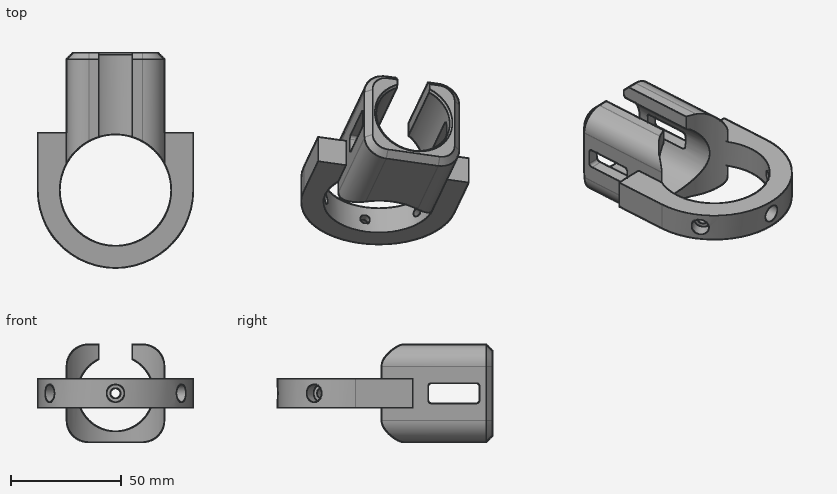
import cadquery as cq

ring_outer_diameter = 70.2
ring_outer_radius = ring_outer_diameter / 2
ring_bore_radius = 25.1
ring_thickness = 13.1
shoulder_y = 25.9

overall_length = 97.1
socket_end_y = overall_length - ring_outer_radius
socket_width = 44.2
socket_corner_radius = 10.0
socket_end_chamfer = 3.0
socket_bore_radius = 17.1
bore_mouth_chamfer = 1.0
slot_width = 15.0

window_length = 23.0
window_height = 9.0
window_corner_radius = 1.5
window_end_margin = 6.0

screw_hole_diameter = 4.5
counterbore_diameter = 8.0
counterbore_depth = 6.2
screw_spacing_angle = 58


def make_ring():
    """Round plate with a straight-sided, square-ended back."""
    return (
        cq.Workplane("XY")
        .moveTo(-ring_outer_radius, shoulder_y)
        .lineTo(-ring_outer_radius, 0)
        .threePointArc((0, -ring_outer_radius), (ring_outer_radius, 0))
        .lineTo(ring_outer_radius, shoulder_y)
        .close()
        .extrude(ring_thickness / 2, both=True)
    )


def make_socket():
    """Rounded square bar from the ring centre to the chamfered back end."""
    return (
        cq.Workplane("XZ")
        .rect(socket_width, socket_width)
        .extrude(-socket_end_y)
        .edges("|Y")
        .fillet(socket_corner_radius)
        .faces(">Y")
        .chamfer(socket_end_chamfer)
    )


def make_socket_bore():
    """Bore along Y that widens at the back end."""
    bore = cq.Workplane("XZ").circle(socket_bore_radius).extrude(-socket_end_y)
    mouth = (
        cq.Workplane("XZ", origin=(0, socket_end_y, 0))
        .circle(socket_bore_radius + bore_mouth_chamfer)
        .workplane(offset=bore_mouth_chamfer)
        .circle(socket_bore_radius)
        .loft()
    )
    return bore.union(mouth)


def make_top_slot():
    """Slot that opens the top of the socket into its bore."""
    return cq.Workplane("XY").box(
        slot_width, socket_end_y, socket_width, centered=(True, False, False)
    )


def make_windows():
    """Rounded rectangle through both side walls."""
    window_y = socket_end_y - window_end_margin - window_length / 2
    return (
        cq.Workplane("XY", origin=(0, window_y, 0))
        .box(socket_width, window_length, window_height)
        .edges("|X")
        .fillet(window_corner_radius)
    )


def make_screw_hole(angle):
    """Counterbored radial hole, turned by angle from the -Y direction."""
    hole = cq.Workplane("XZ").circle(screw_hole_diameter / 2).extrude(ring_outer_radius)
    counterbore = (
        cq.Workplane("XZ", origin=(0, counterbore_depth - ring_outer_radius, 0))
        .circle(counterbore_diameter / 2)
        .extrude(counterbore_depth)
    )
    return hole.union(counterbore).rotate((0, 0, 0), (0, 0, 1), angle)


ring_bore = (
    cq.Workplane("XY", origin=(0, 0, -socket_width / 2)).circle(ring_bore_radius).extrude(socket_width)
)

result = make_ring().union(make_socket())
for cutter in (ring_bore, make_socket_bore(), make_top_slot(), make_windows()):
    result = result.cut(cutter)
for angle in (-screw_spacing_angle, 0, screw_spacing_angle):
    result = result.cut(make_screw_hole(angle))